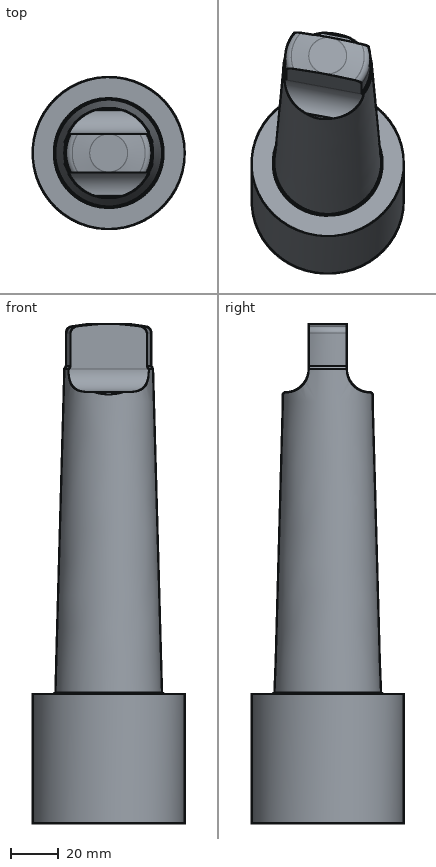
import cadquery as cq

total_height = 210.0
collar_diameter = 64.0
collar_height = 54.4

shank_base_radius = 22.5
shank_top_radius = 18.7
shank_top = 190.9
flare_width = 0.6
flare_height = 0.6

tang_radius = 36.0 / 2
tang_thickness = 16.2
tang_base = 192.2
tip_flat_radius = 8.0
crown_radius = 15.3
crown_drop = 1.0
tip_corner_height = 4.0

scallop_radius = 9.7
lip_start = 18.0
lip_bevel = 1.0


def turned_body():
    """Collar, shank and rounded tang end revolved about Z."""
    collar_radius = collar_diameter / 2
    profile = (
        cq.Workplane("XZ")
        .lineTo(collar_radius, 0)
        .lineTo(collar_radius, collar_height)
        .lineTo(shank_base_radius + flare_width, collar_height)
        .lineTo(shank_base_radius, collar_height + flare_height)
        .lineTo(shank_top_radius, shank_top)
        .lineTo(tang_radius, tang_base)
        .lineTo(tang_radius, total_height - tip_corner_height)
        .tangentArcPoint((crown_radius, total_height - crown_drop), relative=False)
        .lineTo(tip_flat_radius, total_height)
        .lineTo(0, total_height)
        .close()
    )
    return profile.revolve(360, (0, 0, 0), (0, 1, 0))


def flat_cutter():
    """Material beside the +Y tang flat, including the concave scallop below it."""
    flat_y = tang_thickness / 2
    scallop_floor = shank_top - scallop_radius
    outside_y = collar_diameter / 2
    return (
        cq.Workplane("YZ")
        .moveTo(flat_y, total_height)
        .lineTo(flat_y, shank_top)
        .tangentArcPoint((flat_y + scallop_radius, scallop_floor), relative=False)
        .lineTo(lip_start, scallop_floor)
        .lineTo(lip_start + lip_bevel, scallop_floor - lip_bevel)
        .lineTo(outside_y, scallop_floor - lip_bevel)
        .lineTo(outside_y, total_height)
        .close()
        .extrude(collar_diameter / 2, both=True)
    )


cutter = flat_cutter()
result = turned_body().cut(cutter).cut(cutter.mirror("XZ"))